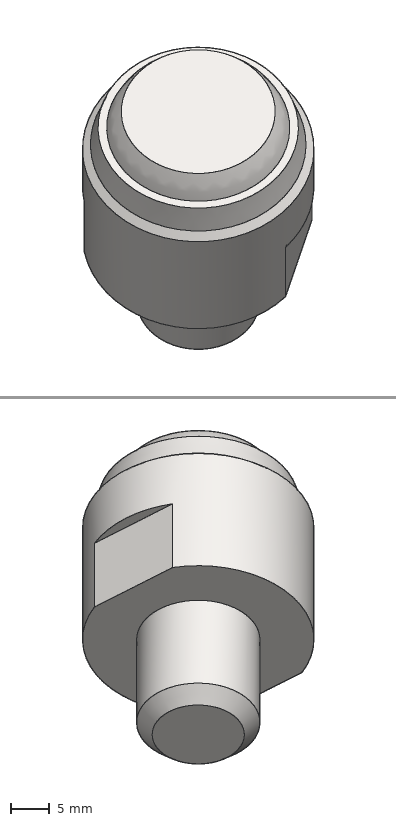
import cadquery as cq

total_height = 43.0
shoulder_height = 16.0
flat_top_height = 26.75
body_top_height = 34.9
bevel_top_height = 35.85
collar_top_height = 39.5

pin_radius = 16.0 / 2
body_radius = 30.0 / 2
bevel_top_radius = 13.98
collar_top_radius = 13.0
cap_base_radius = 11.85
cap_top_radius = 9.98
cap_curve_radius = 12.6

pin_chamfer = 2.0
flat_offset = 13.55

profile = (
    cq.Workplane("XZ")
    .lineTo(pin_radius - pin_chamfer, 0)
    .lineTo(pin_radius, pin_chamfer)
    .lineTo(pin_radius, shoulder_height)
    .lineTo(body_radius, shoulder_height)
    .lineTo(body_radius, body_top_height)
    .lineTo(bevel_top_radius, bevel_top_height)
    .lineTo(collar_top_radius, collar_top_height)
    .lineTo(cap_base_radius, collar_top_height)
    .radiusArc((cap_top_radius, total_height), -cap_curve_radius)
    .lineTo(0, total_height)
    .close()
)
result = profile.revolve(360, (0, 0, 0), (0, 1, 0))

flat_height = flat_top_height - shoulder_height
for side in (-1, 1):
    cutter = (
        cq.Workplane("XY", origin=(side * (flat_offset + body_radius / 2), 0, shoulder_height))
        .box(body_radius, 2 * body_radius, flat_height, centered=(True, True, False))
    )
    result = result.cut(cutter)